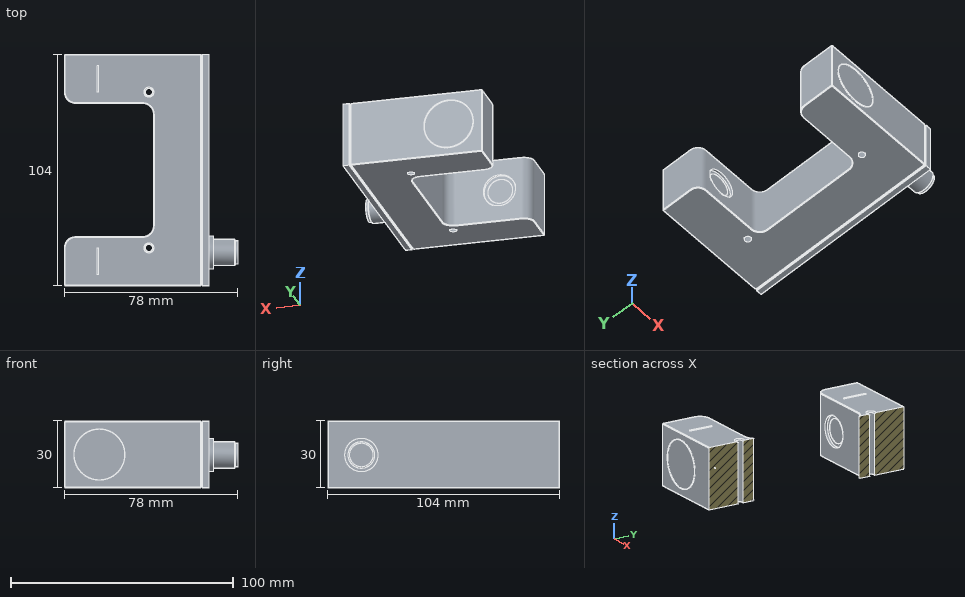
import cadquery as cq

total_length = 78.0
width = 104.0
height = 30.0

housing_length = 65.0
joint_x = 61.5
joint_gap = 0.3
joint_depth = 0.4
arm_width = 22.0
throat_depth = 40.0
throat_radius = 5.0
edge_chamfer = 0.3

hole_x = 38.0
hole_spacing = 70.0
hole_diameter = 3.2
countersink_diameter = 4.5
countersink_angle = 90

cap_x = 15.7
cap_diameter = 23.0
cap_gap = 0.1
cap_gap_depth = 0.5
window_x = 15.0
window_diameter = 15.0
window_depth = 1.4
lens_diameter = 11.5
lens_step = 0.1

mark_length = 12.0
mark_width = 0.7
mark_depth = 0.2

connector_y = -37.0
connector_z = -0.2
collar_diameter = 15.0
collar_length = 2.0
thread_diameter = 12.0
tip_diameter = 10.6
tip_length = 1.1
tip_taper_length = 0.4

half_width = width / 2
half_throat = half_width - arm_width
arm_center = half_width - arm_width / 2
sides = (-1, 1)


def make_housing():
    """C-shaped body with rounded throat corners and broken edges."""
    body = cq.Workplane("XY").box(joint_x, width, height, centered=(False, True, True))
    throat = cq.Workplane("XY").box(
        throat_depth, 2 * half_throat, height, centered=(False, True, True)
    )
    throat = throat.edges("|Z and >X").fillet(throat_radius)
    body = body.cut(throat)
    body = body.edges("|Z and <X").edges("not(<Y or >Y)").fillet(throat_radius)
    body = body.edges("|Z").edges("<Y or >Y").chamfer(edge_chamfer)
    return body.faces("<Z or >Z").chamfer(edge_chamfer)


def make_joint():
    """Slightly inset strip that leaves a groove between the housing and the cover."""
    inset = 2 * joint_depth
    strip = cq.Workplane("XY").box(
        joint_gap, width - inset, height - inset, centered=(False, True, True)
    )
    return strip.translate((joint_x, 0, 0))


def make_cover():
    """Back plate whose front edge is broken where it borders the groove."""
    cover_x = joint_x + joint_gap
    cover = cq.Workplane("XY").box(
        housing_length - cover_x, width, height, centered=(False, True, True)
    )
    cover = cover.faces("<X").chamfer(edge_chamfer)
    return cover.translate((cover_x, 0, 0))


def make_connector():
    """Collar, threaded barrel and reduced tip, revolved about the connector axis."""
    collar_end = housing_length + collar_length
    tip_start = total_length - tip_length
    profile = (
        cq.Workplane("XY")
        .moveTo(joint_x, 0)
        .lineTo(joint_x, collar_diameter / 2)
        .lineTo(collar_end, collar_diameter / 2)
        .lineTo(collar_end, thread_diameter / 2)
        .lineTo(tip_start - tip_taper_length, thread_diameter / 2)
        .lineTo(tip_start, tip_diameter / 2)
        .lineTo(total_length, tip_diameter / 2)
        .lineTo(total_length, 0)
        .close()
    )
    connector = profile.revolve(360, (0, 0, 0), (1, 0, 0))
    return connector.translate((0, connector_y, connector_z))


def cylinder_along_y(x, diameter, y_start, depth, direction):
    """Cylinder at height zero, starting at y_start and running along +Y or -Y."""
    return cq.Workplane(
        cq.Solid.makeCylinder(
            diameter / 2, depth, cq.Vector(x, y_start, 0), cq.Vector(0, direction, 0)
        )
    )


def make_cap_gap(side):
    """Hairline ring around the flush cap on the outer face of one arm."""
    outer = cylinder_along_y(cap_x, cap_diameter, side * half_width, cap_gap_depth, -side)
    inner_diameter = cap_diameter - 2 * cap_gap
    inner = cylinder_along_y(cap_x, inner_diameter, side * half_width, cap_gap_depth, -side)
    return outer.cut(inner)


def make_window(side):
    """Recessed window with a slightly deeper lens on the inner face of one arm."""
    recess = cylinder_along_y(window_x, window_diameter, side * half_throat, window_depth, side)
    lens_depth = window_depth + lens_step
    lens = cylinder_along_y(window_x, lens_diameter, side * half_throat, lens_depth, side)
    return recess.union(lens)


def make_mark(side):
    """Shallow round-ended slot across one arm, in line with its window."""
    slot = cq.Workplane("XY").slot2D(mark_length, mark_width, 90).extrude(mark_depth)
    return slot.translate((window_x, side * arm_center, height / 2 - mark_depth))


result = make_housing().union(make_joint()).union(make_cover()).union(make_connector())
for side in sides:
    result = result.cut(make_cap_gap(side)).cut(make_window(side)).cut(make_mark(side))

hole_centers = [(hole_x, side * hole_spacing / 2) for side in sides]
result = (
    result.faces(">Z")
    .workplane(origin=(0, 0, height / 2))
    .pushPoints(hole_centers)
    .cskHole(hole_diameter, countersink_diameter, countersink_angle)
)